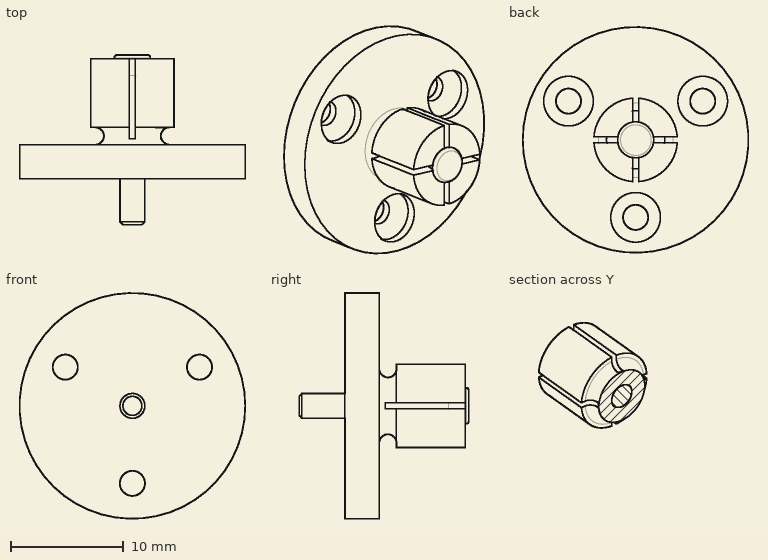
import cadquery as cq
import math

flange_diameter = 19.99
flange_thickness = 3.04
hub_diameter = 7.4
hub_length = 6.1
neck_radius = 2.54
neck_length = 1.52

mount_hole_count = 3
mount_hole_diameter = 2.2
mount_hole_circle_radius = 6.85
first_mount_hole_angle = -90
mount_hole_straight_depth = 0.84
screw_head_diameter = 4.4
countersink_angle = 80

slot_width = 0.52
slot_floor_gap = 0.52

pin_diameter = 2.2
pin_projection = 4.05
pin_chamfer = 0.25
head_diameter = 3.2
head_projection = 0.32
head_fillet = 0.24
taper_length = 1.5
taper_end_diameter = 2.8

pin_radius = pin_diameter / 2
head_radius = head_diameter / 2
hub_radius = hub_diameter / 2
hub_start = flange_thickness + neck_length
hub_end = hub_start + hub_length
taper_start = hub_end - taper_length
head_end = hub_end + head_projection


def make_pin():
    """Straight pin whose far end flares inside the hub and carries a rounded head against its end face."""
    profile = (
        cq.Workplane("XY")
        .moveTo(0, -pin_projection)
        .lineTo(pin_radius - pin_chamfer, -pin_projection)
        .lineTo(pin_radius, pin_chamfer - pin_projection)
        .lineTo(pin_radius, taper_start)
        .lineTo(taper_end_diameter / 2, hub_end)
        .lineTo(head_radius, hub_end)
        .lineTo(head_radius, head_end - head_fillet)
        .radiusArc((head_radius - head_fillet, head_end), -head_fillet)
        .lineTo(0, head_end)
        .close()
    )
    return profile.revolve(360, (0, 0, 0), (0, 1, 0))


def make_turned_blank():
    """Flange, waisted neck with a half-round groove, and hub."""
    groove_radius = neck_length / 2
    groove_edge = neck_radius + groove_radius
    profile = (
        cq.Workplane("XY")
        .lineTo(flange_diameter / 2, 0)
        .lineTo(flange_diameter / 2, flange_thickness)
        .lineTo(groove_edge, flange_thickness)
        .threePointArc((neck_radius, flange_thickness + groove_radius), (groove_edge, hub_start))
        .lineTo(hub_radius, hub_start)
        .lineTo(hub_radius, hub_end)
        .lineTo(0, hub_end)
        .close()
    )
    return profile.revolve(360, (0, 0, 0), (0, 1, 0))


def make_mount_hole():
    """Cutter on the Y axis: straight hole, then a countersink into a wider recess for the screw head."""
    hole_radius = mount_hole_diameter / 2
    recess_radius = screw_head_diameter / 2
    half_angle = math.radians(countersink_angle / 2)
    countersink_depth = (recess_radius - hole_radius) / math.tan(half_angle)
    recess_start = mount_hole_straight_depth + countersink_depth
    profile = (
        cq.Workplane("XY")
        .lineTo(hole_radius, 0)
        .lineTo(hole_radius, mount_hole_straight_depth)
        .lineTo(recess_radius, recess_start)
        .lineTo(recess_radius, flange_thickness)
        .lineTo(0, flange_thickness)
        .close()
    )
    return profile.revolve(360, (0, 0, 0), (0, 1, 0))


def drill_mount_holes(body):
    """Cut the ring of screw holes through the flange."""
    for index in range(mount_hole_count):
        angle = math.radians(first_mount_hole_angle + index * 360 / mount_hole_count)
        x = mount_hole_circle_radius * math.cos(angle)
        z = mount_hole_circle_radius * math.sin(angle)
        body = body.cut(make_mount_hole().translate((x, 0, z)))
    return body


def make_cross_slots():
    """Two crossed slots that split the hub into four fingers."""
    slot_start = flange_thickness + slot_floor_gap
    slot_length = hub_end - slot_start
    plane = cq.Workplane("XZ", origin=(0, slot_start, 0))
    upright = plane.rect(slot_width, hub_diameter).extrude(-slot_length)
    level = plane.rect(hub_diameter, slot_width).extrude(-slot_length)
    return upright.union(level)


def make_housing(pin):
    """Slotted flange and hub, bored to fit the pin."""
    blank = drill_mount_holes(make_turned_blank())
    return blank.cut(make_cross_slots()).cut(pin)


pin = make_pin()
housing = make_housing(pin)

result = cq.Compound.makeCompound([housing.val(), pin.val()])